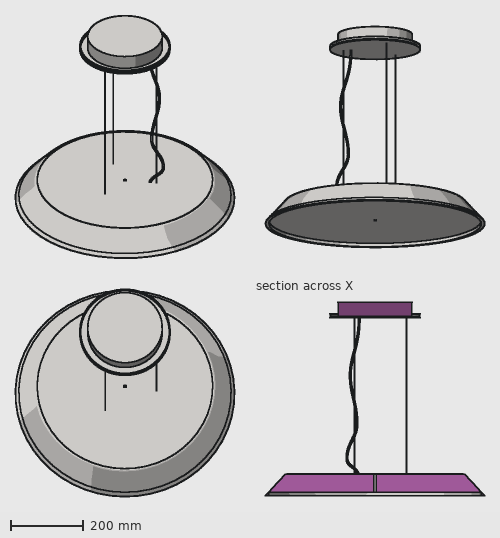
import cadquery as cq
import math

TOTAL_HEIGHT = 538.5

SHADE_RADIUS = 304.5
SHADE_HEIGHT = 61.5
SHADE_EDGE_HEIGHT = 1.0
SHADE_SHOULDER_RADIUS = 249.0
SHADE_SHOULDER_FILLET = 9.0
PANEL_RADIUS = 243.5
PANEL_DEPTH = 1.0
CENTRE_HOLE_RADIUS = 3.0
UNDERSIDE_RECESS_RADIUS = 295.0
UNDERSIDE_RECESS_DEPTH = 10.0

TRAY_RADIUS = 125.5
TRAY_HEIGHT = 10.5
TRAY_RIM = 2.5
TRAY_FLOOR = 4.0
DRUM_RADIUS = 103.5
DRUM_HEIGHT_ABOVE_RIM = 33.0
TRAY_BOTTOM = TOTAL_HEIGHT - DRUM_HEIGHT_ABOVE_RIM - TRAY_HEIGHT
DRUM_BOTTOM = TRAY_BOTTOM + TRAY_FLOOR

WIRE_COUNT = 3
WIRE_RADIUS = 0.5
WIRE_CIRCLE_RADIUS = 89.0
FIRST_WIRE_ANGLE = 40.0
PANEL_TOP = SHADE_HEIGHT - PANEL_DEPTH
WIRE_LENGTH = TRAY_BOTTOM - PANEL_TOP

CABLE_RADIUS = 2.5
CABLE_TOP_X = 52.0
CABLE_TOP_Y = 44.0
CABLE_PLANE_ANGLE = 58.0
CABLE_BENDS = [(29.0, 334.0), (7.5, 201.0), (40.0, 105.0)]
CABLE_END_SWAY = 2.0
CABLE_END_DIRECTION = (-1, -2.5)


def make_shade():
    """Sloping shade with a rounded shoulder, a sunken top panel and a shallow underside recess."""
    blank = (
        cq.Workplane("XZ")
        .moveTo(0, 0)
        .lineTo(SHADE_RADIUS, 0)
        .lineTo(SHADE_RADIUS, SHADE_EDGE_HEIGHT)
        .lineTo(SHADE_SHOULDER_RADIUS, SHADE_HEIGHT)
        .lineTo(0, SHADE_HEIGHT)
        .close()
        .revolve(360, (0, 0, 0), (0, 1, 0))
        .faces(">Z")
        .edges()
        .fillet(SHADE_SHOULDER_FILLET)
    )
    panel = cq.Workplane("XY").workplane(offset=PANEL_TOP).circle(PANEL_RADIUS).extrude(PANEL_DEPTH)
    underside = cq.Workplane("XY").circle(UNDERSIDE_RECESS_RADIUS).extrude(UNDERSIDE_RECESS_DEPTH)
    centre_hole = cq.Workplane("XY").circle(CENTRE_HOLE_RADIUS).extrude(SHADE_HEIGHT)
    return blank.cut(panel).cut(underside).cut(centre_hole)


def make_wires():
    """Straight wires evenly spaced on a circle."""
    return (
        cq.Workplane("XY")
        .workplane(offset=PANEL_TOP)
        .polarArray(WIRE_CIRCLE_RADIUS, FIRST_WIRE_ANGLE, 360, WIRE_COUNT)
        .circle(WIRE_RADIUS)
        .extrude(WIRE_LENGTH)
    )


def make_tray():
    """Rimmed tray and the suspension wires fixed to it, as one solid."""
    plate = cq.Workplane("XY").workplane(offset=TRAY_BOTTOM).circle(TRAY_RADIUS).extrude(TRAY_HEIGHT)
    hollow = (
        cq.Workplane("XY")
        .workplane(offset=DRUM_BOTTOM)
        .circle(TRAY_RADIUS - TRAY_RIM)
        .extrude(TRAY_HEIGHT - TRAY_FLOOR)
    )
    return plate.cut(hollow).union(make_wires())


def make_drum():
    """Plain drum standing on the floor of the tray."""
    return (
        cq.Workplane("XY")
        .workplane(offset=DRUM_BOTTOM)
        .circle(DRUM_RADIUS)
        .extrude(TOTAL_HEIGHT - DRUM_BOTTOM)
    )


def make_cable(shade_body):
    """Round cable along a smooth curve, trimmed where it meets the top panel of the shade."""
    angle = math.radians(CABLE_PLANE_ANGLE)
    swing_plane = cq.Plane(
        origin=(CABLE_TOP_X, CABLE_TOP_Y, 0),
        xDir=(math.cos(angle), math.sin(angle), 0),
        normal=(math.sin(angle), -math.cos(angle), 0),
    )
    curve = [(0, TRAY_BOTTOM), *CABLE_BENDS, (CABLE_END_SWAY, PANEL_TOP - CABLE_RADIUS)]
    directions = [(0, -1)] * (len(curve) - 1) + [CABLE_END_DIRECTION]
    path = cq.Workplane(swing_plane).spline(curve, tangents=directions)
    return (
        cq.Workplane("XY", origin=(CABLE_TOP_X, CABLE_TOP_Y, TRAY_BOTTOM))
        .circle(CABLE_RADIUS)
        .sweep(path)
        .cut(shade_body)
    )


shade = make_shade()
tray = make_tray()
drum = make_drum()
cable = make_cable(shade)

result = cq.Compound.makeCompound([shade.val(), tray.val(), drum.val(), cable.val()])